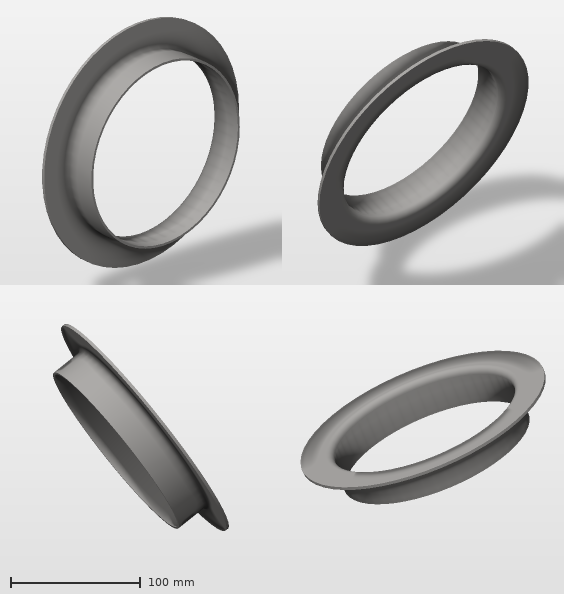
import cadquery as cq

flange_diameter = 202.0
tube_outer_diameter = 154.0
tube_inner_diameter = 150.0
total_length = 30.0
flange_thickness = 2.5
inner_bend_radius = 5.0
outer_bend_radius = 3.0

flange_radius = flange_diameter / 2
tube_outer_radius = tube_outer_diameter / 2
bore_radius = tube_inner_diameter / 2


def make_collar():
    """Revolve the L-shaped wall section, drawn as (x, radius), about the X axis."""
    section = (
        cq.Workplane("XY")
        .moveTo(0, flange_radius)
        .lineTo(flange_thickness, flange_radius)
        .lineTo(flange_thickness, tube_outer_radius + outer_bend_radius)
        .radiusArc(
            (flange_thickness + outer_bend_radius, tube_outer_radius),
            -outer_bend_radius,
        )
        .lineTo(total_length, tube_outer_radius)
        .lineTo(total_length, bore_radius)
        .lineTo(inner_bend_radius, bore_radius)
        .radiusArc((0, bore_radius + inner_bend_radius), inner_bend_radius)
        .close()
    )
    return section.revolve(360, (0, 0, 0), (1, 0, 0))


result = make_collar()